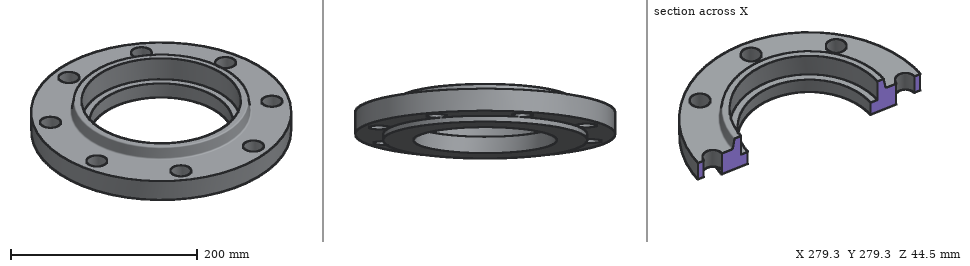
import cadquery as cq

flange_diameter = 279.3
flange_thickness = 24.0

face_diameter = 219.3
face_height = 6.5

total_height = 44.5
hub_base_diameter = 192.5
hub_top_diameter = 187.7
hub_edge_fillet = 1.7
hub_root_fillet = 2.0

bore_diameter = 154.0
socket_diameter = 171.0
socket_depth = 26.5

bolt_count = 8
bolt_circle_diameter = 241.3
bolt_hole_diameter = 22.3

flange_top = face_height + flange_thickness


def cylinder(diameter, bottom, height):
    """Upright cylinder on the Z axis."""
    return cq.Workplane("XY").workplane(offset=bottom).circle(diameter / 2).extrude(height)


def hub_blank():
    """Cone running from the flange top to the top of the part."""
    return (
        cq.Workplane("XY")
        .workplane(offset=flange_top)
        .circle(hub_base_diameter / 2)
        .workplane(offset=total_height - flange_top)
        .circle(hub_top_diameter / 2)
        .loft(ruled=True)
    )


def bolt_holes():
    """Ring of through holes; they nick the rim of the raised face."""
    return (
        cq.Workplane("XY")
        .polarArray(bolt_circle_diameter / 2, 0, 360, bolt_count)
        .circle(bolt_hole_diameter / 2)
        .extrude(total_height)
    )


body = cylinder(face_diameter, 0, face_height)
body = body.union(cylinder(flange_diameter, face_height, flange_thickness))
body = body.union(hub_blank())

body = body.faces(">Z").edges().fillet(hub_edge_fillet)
root_edge = cq.selectors.RadiusNthSelector(0)
flange_top_face = cq.selectors.BoxSelector(
    (-flange_diameter, -flange_diameter, flange_top - hub_root_fillet),
    (flange_diameter, flange_diameter, flange_top + hub_root_fillet),
)
body = body.faces(flange_top_face).edges(root_edge).fillet(hub_root_fillet)

body = body.cut(cylinder(bore_diameter, 0, total_height))
body = body.cut(cylinder(socket_diameter, total_height - socket_depth, socket_depth))
result = body.cut(bolt_holes())